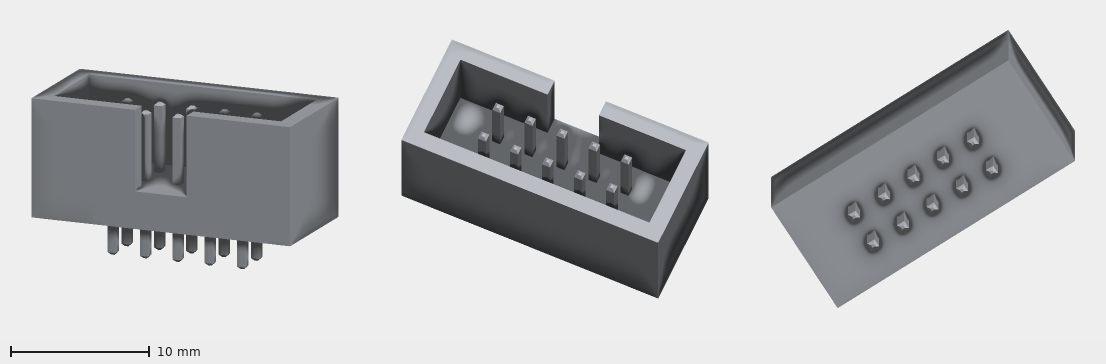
import cadquery as cq

shroud_length = 20.32
shroud_width = 8.9
shroud_height = 8.9
wall = 1.24
cavity_depth = 6.1
key_notch_width = 4.06

pin_columns = 5
pin_rows = 2
pin_pitch = 2.55
pin_side = 0.63
pin_bevel = 0.2
pin_tail = 3.0
pin_recess = 0.9

floor_thickness = shroud_height - cavity_depth
pin_length = pin_tail + shroud_height - pin_recess


def box_on(base_z, length, width, height):
    """Box centred on the Z axis, standing on the height base_z."""
    return cq.Workplane("XY", origin=(0, 0, base_z)).rect(length, width).extrude(height)


def make_shroud():
    body = box_on(0, shroud_length, shroud_width, shroud_height)
    cavity = box_on(
        floor_thickness,
        shroud_length - 2 * wall,
        shroud_width - 2 * wall,
        cavity_depth,
    )
    notch_center_y = -(shroud_width - wall) / 2
    key_notch = box_on(floor_thickness, key_notch_width, wall, cavity_depth)
    key_notch = key_notch.translate((0, notch_center_y, 0))
    return body.cut(cavity).cut(key_notch)


def make_pins():
    pin = box_on(-pin_tail, pin_side, pin_side, pin_length)
    pin = pin.faces("<Z or >Z").chamfer(pin_bevel)
    return (
        cq.Workplane("XY")
        .rarray(pin_pitch, pin_pitch, pin_columns, pin_rows)
        .eachpoint(lambda place: pin.val().moved(place))
    )


result = make_shroud().union(make_pins())